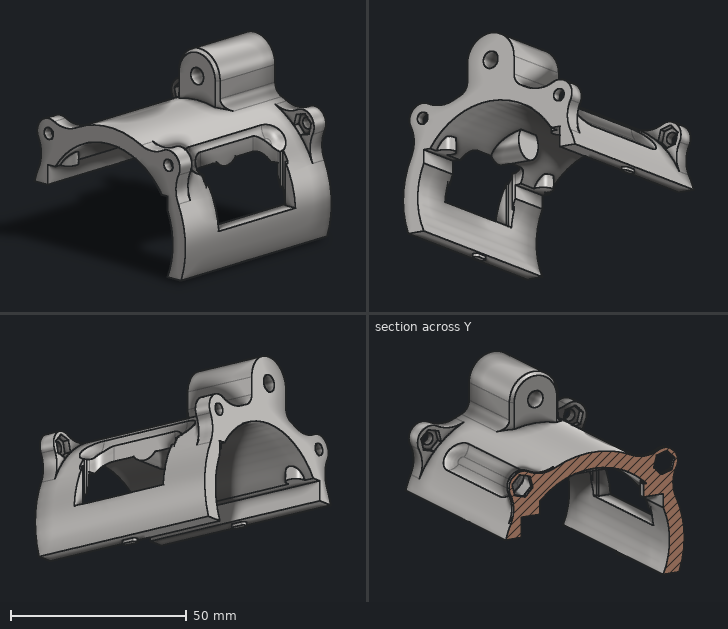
import cadquery as cq
import math

length = 61.0
outer_radius = 30.0
inner_radius = 25.0
mid_radius = (outer_radius + inner_radius) / 2
left_foot_z = 8.0
right_foot_z = -10.0

clearance_top_z = 14.0
clearance_left_x = -math.sqrt(inner_radius**2 - left_foot_z**2)
clearance_right_x = math.sqrt(inner_radius**2 - right_foot_z**2)

ear_thickness = 5.0
ear_angle = 45.0
ear_circle_radius = 33.0
ear_radius = 4.5
ear_blend_radius = 10.0
ear_hole_diameter = 3.5
nut_across_flats = 2 * (ear_circle_radius - outer_radius)
nut_depth = 2.0
hex_half_angle = 30.0

boss_radius = 8.0
boss_center_z = 37.1
boss_length = 24.0
boss_hole_diameter = 5.0
boss_blend_radius = 4.0
boss_chamfer = 1.0

middle_y = 30.0

slot_angle = 45.0
slot_straight = 30.0
slot_floor_radius = 28.0
slot_floor_half_width = 1.3
slot_blend_radius = 4.8
slot_cutter_height = 6.0

window_left_x = 17.95
window_floor_z = 2.0
window_width = 32.0
window_corner_radius = 5.0
groove_left_x = 24.0
groove_thickness = 2.0
groove_width = 34.0

post_radius = 3.0
post_height = 4.0
post_left_x = -20.4
post_right_x = 19.4
post_end_distance = 5.0
cross_boss_radius = 5.0
cross_boss_left_x = 7.75
cross_boss_center_z = 20.6

tab_left_x = -26.35
tab_right_x = 24.65
tab_width = 2.0
tab_length = 5.0
tab_height = 1.0


def polar(radius, angle):
    """Point (x, z) at a radius and an angle in degrees from +X."""
    turn = math.radians(angle)
    return radius * math.cos(turn), radius * math.sin(turn)


def arc_middle(center, radius, start, end):
    """Middle point of the shorter arc from start to end about center."""
    toward_x = (start[0] + end[0]) / 2 - center[0]
    toward_z = (start[1] + end[1]) / 2 - center[1]
    scale = radius / math.hypot(toward_x, toward_z)
    return center[0] + scale * toward_x, center[1] + scale * toward_z


def box_between(x_range, y_range, z_range):
    size = [high - low for low, high in (x_range, y_range, z_range)]
    corner = (x_range[0], y_range[0], z_range[0])
    return cq.Workplane("XY").box(*size, centered=False).translate(corner)


def front_plane(y):
    """Sketch plane at y whose sketch axes are X and Z; extrusion runs toward -Y."""
    return cq.Workplane("XZ", origin=(0, y, 0))


def round_bar(radius):
    """Cylinder about the shell axis over the full length."""
    return front_plane(length).circle(radius).extrude(length)


def make_shell():
    ring = round_bar(outer_radius).cut(round_bar(inner_radius))
    full_y = (0, length)
    below_left = box_between((-outer_radius, 0), full_y, (-outer_radius, left_foot_z))
    below_right = box_between((0, outer_radius), full_y, (-outer_radius, right_foot_z))
    clearance = box_between(
        (clearance_left_x, clearance_right_x), full_y, (right_foot_z, clearance_top_z)
    )
    return ring.cut(below_left).cut(below_right).cut(clearance)


def make_ear():
    """Right-hand ear at the rear end, with its hole and nut recess."""
    blend_distance = outer_radius + ear_blend_radius
    ear_to_blend = ear_radius + ear_blend_radius
    half_angle = math.degrees(math.acos(
        (blend_distance**2 + ear_circle_radius**2 - ear_to_blend**2)
        / (2 * blend_distance * ear_circle_radius)
    ))
    ear_x, ear_z = polar(ear_circle_radius, ear_angle)

    def blend_points(angle):
        """Shell tangency, middle and ear tangency of the blend centred at angle."""
        center_x, center_z = polar(blend_distance, angle)
        on_shell = polar(outer_radius, angle)
        share = ear_radius / ear_to_blend
        on_ear = (ear_x + share * (center_x - ear_x), ear_z + share * (center_z - ear_z))
        middle = arc_middle((center_x, center_z), ear_blend_radius, on_shell, on_ear)
        return on_shell, middle, on_ear

    upper_shell, upper_middle, upper_ear = blend_points(ear_angle + half_angle)
    lower_shell, lower_middle, lower_ear = blend_points(ear_angle - half_angle)
    ear_tip = polar(ear_circle_radius + ear_radius, ear_angle)
    ear = (
        front_plane(length)
        .moveTo(*upper_shell)
        .threePointArc(upper_middle, upper_ear)
        .threePointArc(ear_tip, lower_ear)
        .threePointArc(lower_middle, lower_shell)
        .close()
        .extrude(ear_thickness)
    )
    hole = (
        front_plane(length)
        .center(ear_x, ear_z)
        .circle(ear_hole_diameter / 2)
        .extrude(ear_thickness)
    )
    nut_corner_diameter = nut_across_flats / math.cos(math.radians(hex_half_angle))
    nut = (
        front_plane(length - ear_thickness + nut_depth)
        .polygon(6, nut_corner_diameter)
        .extrude(nut_depth)
        .rotate((0, 0, 0), (0, 1, 0), hex_half_angle - ear_angle)
        .translate((ear_x, 0, ear_z))
    )
    return ear.cut(hole).cut(nut)


def make_ears():
    rear_right = make_ear()
    rear = rear_right.union(rear_right.mirror("YZ"))
    front = rear.mirror("XZ", (0, length / 2, 0))
    return rear.union(front)


def make_boss():
    flare_x = boss_radius + boss_blend_radius
    flare_z = math.sqrt((outer_radius + boss_blend_radius) ** 2 - flare_x**2)
    flare_share = outer_radius / (outer_radius + boss_blend_radius)
    foot_x = flare_share * flare_x
    foot_z = flare_share * flare_z
    flare_middle_x, flare_middle_z = arc_middle(
        (flare_x, flare_z), boss_blend_radius, (foot_x, foot_z), (boss_radius, flare_z)
    )
    body = (
        front_plane(length)
        .moveTo(-foot_x, foot_z)
        .lineTo(foot_x, foot_z)
        .threePointArc((flare_middle_x, flare_middle_z), (boss_radius, flare_z))
        .lineTo(boss_radius, boss_center_z)
        .threePointArc((0, boss_center_z + boss_radius), (-boss_radius, boss_center_z))
        .lineTo(-boss_radius, flare_z)
        .threePointArc((-flare_middle_x, flare_middle_z), (-foot_x, foot_z))
        .close()
        .extrude(boss_length)
    )
    return body.intersect(make_boss_envelope())


def make_boss_envelope():
    """Arch widening at 45 degrees from the boss front face; it forms the chamfer."""
    arch_depth = boss_center_z
    taper_length = 2 * boss_blend_radius
    tip_radius = boss_radius - boss_chamfer

    def arch(y, radius):
        return (
            cq.Workplane("XZ", origin=(0, y, boss_center_z))
            .moveTo(-radius, -arch_depth)
            .lineTo(radius, -arch_depth)
            .lineTo(radius, 0)
            .threePointArc((0, radius), (-radius, 0))
            .close()
        )

    taper_end_y = length - boss_length + taper_length
    wide_radius = tip_radius + taper_length
    wide_end = arch(taper_end_y, wide_radius)
    narrow_end = arch(taper_end_y - taper_length, tip_radius)
    taper = cq.Workplane(cq.Solid.makeLoft([wide_end.val(), narrow_end.val()], True))
    straight = arch(length, wide_radius).extrude(length - taper_end_y)
    return straight.union(taper)


def make_posts():
    """Round posts at the four corners of the clearance, rising into the shell wall."""
    spots = [
        (x, y)
        for x in (post_left_x, post_right_x)
        for y in (post_end_distance, 2 * middle_y - post_end_distance)
    ]
    return (
        cq.Workplane("XY", origin=(0, 0, clearance_top_z))
        .pushPoints(spots)
        .circle(post_radius)
        .extrude(post_height)
    )


def make_cross_boss():
    boss = (
        cq.Workplane("YZ", origin=(cross_boss_left_x, middle_y, cross_boss_center_z))
        .circle(cross_boss_radius)
        .extrude(window_left_x - cross_boss_left_x)
    )
    return boss.intersect(round_bar(mid_radius))


def make_tab(x, foot_z):
    return (
        cq.Workplane("XY", origin=(x, middle_y, foot_z))
        .slot2D(tab_length, tab_width, 90)
        .extrude(-tab_height)
    )


def make_grip_slot(lean):
    """Dished slot cutter, turned about the shell axis by lean degrees from the top."""
    half_width = slot_floor_half_width + slot_blend_radius
    return (
        cq.Workplane("XY", origin=(0, middle_y, slot_floor_radius))
        .slot2D(slot_straight + 2 * half_width, 2 * half_width, 90)
        .extrude(slot_cutter_height)
        .faces("<Z")
        .edges()
        .fillet(slot_blend_radius)
        .rotate((0, 0, 0), (0, 1, 0), lean)
    )


def centred_range(width):
    return middle_y - width / 2, middle_y + width / 2


def make_window():
    height_range = (window_floor_z, outer_radius)
    opening = (
        box_between((window_left_x, outer_radius), centred_range(window_width), height_range)
        .edges("|Z and <X")
        .fillet(window_corner_radius)
    )
    groove = box_between(
        (groove_left_x, groove_left_x + groove_thickness),
        centred_range(groove_width),
        height_range,
    )
    return opening.union(groove)


def make_boss_hole():
    return (
        front_plane(length)
        .center(0, boss_center_z)
        .circle(boss_hole_diameter / 2)
        .extrude(boss_length)
    )


result = (
    make_shell()
    .union(make_ears())
    .union(make_boss())
    .union(make_posts())
    .union(make_cross_boss())
    .union(make_tab(tab_left_x, left_foot_z))
    .union(make_tab(tab_right_x, right_foot_z))
    .cut(make_boss_hole())
    .cut(make_grip_slot(slot_angle))
    .cut(make_grip_slot(-slot_angle))
    .cut(make_window())
)